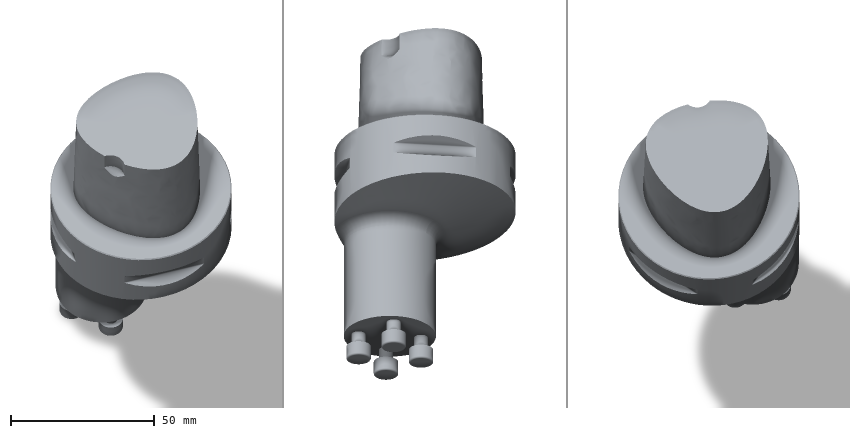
import cadquery as cq
import math

overall_height = 113.6
taper_length = 38.0
flange_top = overall_height - taper_length
shank_bottom = 9.7
screw_head_height = 5.0

flange_diameter = 63.0
flange_radius = flange_diameter / 2
flange_thickness = 21.9
rim_z = flange_top - flange_thickness
flange_chamfer = 0.3
underside_angle = math.radians(10)

shank_diameter = 32.0
shank_radius = shank_diameter / 2
shank_x = shank_radius - flange_radius
neck_fillet = 4.0

screw_spacing = 15.5
screw_diameter = 5.0
screw_head_diameter = 8.5
screw_head_fillet = 0.6

taper_base_radius = 22.0
taper_ratio = 20.0
lobe_offset = 1.5
outline_points = 36
taper_top_radius = taper_base_radius - taper_length / taper_ratio / 2

notch_radius = 5.0
notch_depth = 6.2
notch_inset = 2.0
notch_y = -(taper_top_radius - lobe_offset) + notch_inset - notch_radius

groove_count = 4
groove_first_angle = 45
groove_depth = 3.5
groove_floor_height = 3.7
groove_flank_angle = math.radians(30)
groove_z = 63.5
groove_fillet = 0.5


def lobed_outline(radius, z):
    """Closed three-lobed curve with one lobe pointing to +Y."""
    points = []
    for index in range(outline_points):
        angle = 2 * math.pi * index / outline_points
        x = -radius * math.sin(angle) + lobe_offset * math.sin(2 * angle)
        y = radius * math.cos(angle) + lobe_offset * math.cos(2 * angle)
        points.append(cq.Vector(x, y, z))
    return cq.Wire.assembleEdges([cq.Edge.makeSpline(points, periodic=True)])


def make_taper():
    base = lobed_outline(taper_base_radius, flange_top)
    top = lobed_outline(taper_top_radius, overall_height)
    taper = cq.Workplane(cq.Solid.makeLoft([base, top], True))
    notch_floor = overall_height - notch_depth
    notch = (
        cq.Workplane("XZ", origin=(0, notch_y, 0))
        .moveTo(0, notch_floor - notch_radius)
        .lineTo(notch_radius, notch_floor)
        .lineTo(notch_radius, overall_height)
        .lineTo(0, overall_height)
        .close()
        .revolve(360, (0, 0, 0), (0, 1, 0))
    )
    return taper.cut(notch)


def make_flange():
    """Flange disc with the conical underside and the fillet into the shank."""
    reach = flange_radius - shank_x
    neck_z = rim_z - (reach - shank_radius) * math.tan(underside_angle)
    corner_angle = math.pi / 2 + underside_angle
    tangent_length = neck_fillet / math.tan(corner_angle / 2)
    fillet_centre_x = shank_radius + neck_fillet
    fillet_centre_z = neck_z - tangent_length
    fillet_end = (
        shank_radius + tangent_length * math.cos(underside_angle),
        neck_z + tangent_length * math.sin(underside_angle),
    )
    middle_angle = (math.pi + corner_angle) / 2
    fillet_middle = (
        fillet_centre_x + neck_fillet * math.cos(middle_angle),
        fillet_centre_z + neck_fillet * math.sin(middle_angle),
    )
    blank = (
        cq.Workplane("XZ", origin=(shank_x, 0, 0))
        .moveTo(0, fillet_centre_z)
        .lineTo(shank_radius, fillet_centre_z)
        .threePointArc(fillet_middle, fillet_end)
        .lineTo(2 * reach, rim_z + reach * math.tan(underside_angle))
        .lineTo(2 * reach, flange_top)
        .lineTo(0, flange_top)
        .close()
        .revolve(360, (0, 0, 0), (0, 1, 0))
    )
    disc = (
        cq.Workplane("XY", origin=(0, 0, shank_bottom))
        .circle(flange_radius)
        .extrude(flange_top - shank_bottom)
        .faces(">Z")
        .chamfer(flange_chamfer)
    )
    return disc.intersect(blank)


def make_groove():
    """Straight trapezoidal groove across the +X side of the flange."""
    half_floor = groove_floor_height / 2
    floor_x = flange_radius - groove_depth
    cutter_depth = 2 * groove_depth
    half_mouth = half_floor + cutter_depth * math.tan(groove_flank_angle)
    return (
        cq.Workplane("XZ", origin=(0, 0, groove_z))
        .moveTo(floor_x, -half_floor)
        .lineTo(floor_x + cutter_depth, -half_mouth)
        .lineTo(floor_x + cutter_depth, half_mouth)
        .lineTo(floor_x, half_floor)
        .close()
        .extrude(flange_radius, both=True)
        .faces("<X")
        .edges("|Y")
        .fillet(groove_fillet)
    )


def make_shank():
    return (
        cq.Workplane("XY", origin=(shank_x, 0, shank_bottom))
        .circle(shank_radius)
        .extrude(rim_z - shank_bottom)
    )


def make_screws():
    layout = cq.Workplane("XY", origin=(shank_x, 0, 0)).rarray(screw_spacing, screw_spacing, 2, 2)
    heads = layout.circle(screw_head_diameter / 2).extrude(screw_head_height)
    heads = heads.faces("<Z").edges().fillet(screw_head_fillet)
    stems = layout.circle(screw_diameter / 2).extrude(shank_bottom)
    return heads.union(stems)


flange = make_flange()
for index in range(groove_count):
    angle = groove_first_angle + index * 360 / groove_count
    flange = flange.cut(make_groove().rotate((0, 0, 0), (0, 0, 1), angle))

result = flange.union(make_taper()).union(make_shank()).union(make_screws())